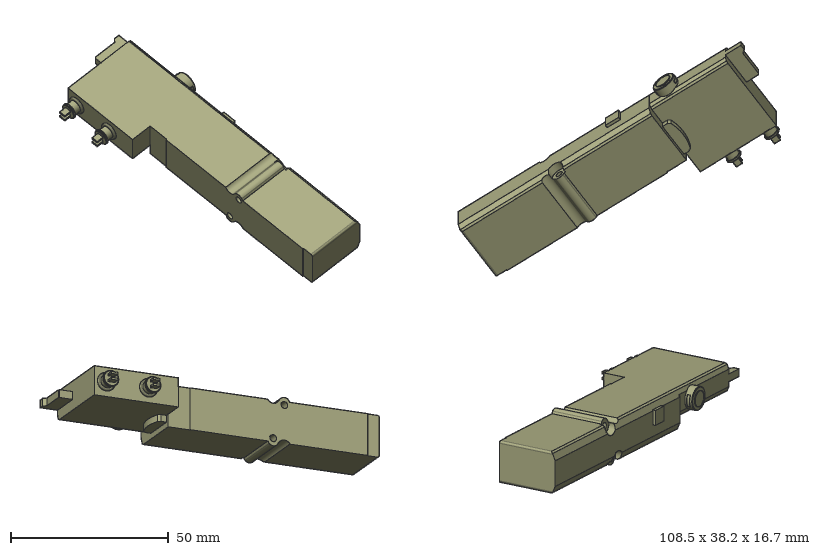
import cadquery as cq
import math

total_length = 108.5
body_start = 35.2
body_height = 14.0
overall_height = 16.7
body_back = 21.3
end_recess = 0.28
left_recess_end = 42.6
right_recess_start = 104.4
end_edge_radius = 0.7

border_start = 19.5
border_crease = 20.3
border_crease_drop = 0.4
border_run_per_rise = 0.43

head_start = 6.0
head_height = 9.8
head_front = -7.5
head_back = 20.9
head_bottom = body_height - head_height
head_mid_z = head_bottom + head_height / 2

upper_boss_x = 75.4
lower_boss_x = 71.5
boss_rise = (overall_height - body_height) / 2
boss_radius = 3.9 / 2
boss_crest_half_width = 1.4
boss_foot_half_width = 1.8
groove_radius = 4.5 / 2
groove_depth = 1.1
groove_z = body_height - groove_depth + groove_radius
flank_foot_offset = 1.5
boss_end = 18.5
screw_hole_diameter = 2.3
screw_seat_diameter = 5.3
screw_depth = 1.2

latch_root = 1.1
latch_thickness = 2.6
latch_front = 9.1
latch_chamfer = 0.3
latch_lip_start = 18.1
latch_lip_full = 19.0

catch_left = 31.4
catch_corner = 32.5
catch_front = 1.6
catch_back = 13.7
catch_height = 2.3
catch_corner_chamfer = 0.7

plug_positions = (10.1, 24.7)
plug_flange_diameter = 6.1
plug_flange_end = -8.2
plug_flange_radius = 0.3
plug_neck_diameter = 4.5
plug_collar_diameter = 5.3
plug_collar_start = -10.7
plug_collar_end = -11.5
plug_collar_chamfer = 0.2
blade_tip = -14.1
blade_width = 2.3
blade_thickness = 0.7
blade_offset = 1.0

knob_x = 28.0
knob_diameter = 7.8
knob_end = 23.8
knob_chamfer = 0.2
knob_cap_diameter = 5.3
knob_cap_end = 24.1
knob_pad_diameter = 8.1
knob_pad_height = 3.9
knob_pad_start = 21.7
knob_pad_end = 22.8
button_start = 46.1
button_end = 51.2
button_back = 22.2
button_height = 5.0


def box(x0, x1, y0, y1, z0, z1):
    return cq.Workplane("XY").box(x1 - x0, y1 - y0, z1 - z0, centered=False).translate((x0, y0, z0))


def cylinder_y(x, z, diameter, y0, y1):
    """Cylinder along Y from the lower value y0 to the higher value y1."""
    return cq.Workplane("XZ", origin=(x, y0, z)).circle(diameter / 2).extrude(y0 - y1)


def block_with_sloped_back(x0, x1, front, back, bottom, top):
    """Block whose back face leans forward towards its top and bottom edges."""
    border_height = border_crease_drop + (back - border_crease) / border_run_per_rise
    profile = [
        (front, bottom),
        (border_start, bottom),
        (border_crease, bottom + border_crease_drop),
        (back, bottom + border_height),
        (back, top - border_height),
        (border_crease, top - border_crease_drop),
        (border_start, top),
        (front, top),
    ]
    return cq.Workplane("YZ", origin=(x0, 0, 0)).polyline(profile).close().extrude(x1 - x0)


def make_body():
    body = block_with_sloped_back(body_start, total_length, 0, body_back, 0, body_height)
    body = body.cut(box(body_start, left_recess_end, 0, end_recess, 0, body_height))
    body = body.cut(box(right_recess_start, total_length, 0, end_recess, 0, body_height))
    return body.faces(">X").edges("|Y").fillet(end_edge_radius)


def make_head():
    return block_with_sloped_back(head_start, body_start, head_front, head_back, head_bottom, body_height)


def half_turn(shape):
    """Turn a feature of the upper side onto the lower side, about the body's middle axis."""
    centre_x = (upper_boss_x + lower_boss_x) / 2
    centre_z = body_height / 2
    return shape.rotate((centre_x, 0, centre_z), (centre_x, 1, centre_z), 180)


def make_groove():
    return cylinder_y(lower_boss_x, groove_z, 2 * groove_radius, 0, body_back)


def make_boss():
    """Ridge with a round crest, a long flank down into the groove and a short one on the other side."""
    crest_drop = boss_radius - math.sqrt(boss_radius**2 - boss_crest_half_width**2)
    crest_edge_z = body_height + boss_rise - crest_drop
    flank_foot_z = groove_z - math.sqrt(groove_radius**2 - flank_foot_offset**2)
    boss_foot_x = upper_boss_x + boss_foot_half_width
    return (
        cq.Workplane("XZ")
        .moveTo(lower_boss_x + flank_foot_offset, flank_foot_z)
        .lineTo(upper_boss_x - boss_crest_half_width, crest_edge_z)
        .threePointArc(
            (upper_boss_x, body_height + boss_rise),
            (upper_boss_x + boss_crest_half_width, crest_edge_z),
        )
        .lineTo(boss_foot_x, body_height)
        .lineTo(boss_foot_x, flank_foot_z)
        .close()
        .extrude(-boss_end)
    )


def make_screw_hole():
    hole_z = body_height - screw_depth
    hole = cylinder_y(upper_boss_x, hole_z, screw_hole_diameter, 0, body_back)
    seat = cylinder_y(upper_boss_x, hole_z, screw_seat_diameter, boss_end, body_back)
    return hole.union(seat)


def make_latch():
    outline = [
        (0, head_back),
        (0, latch_lip_full),
        (latch_root, latch_lip_start),
        (latch_root, latch_front + latch_chamfer),
        (latch_root + latch_chamfer, latch_front),
        (head_start, latch_front),
        (head_start, head_back),
    ]
    bottom = head_mid_z - latch_thickness / 2
    return cq.Workplane("XY", origin=(0, 0, bottom)).polyline(outline).close().extrude(latch_thickness)


def make_catch():
    bottom = head_bottom - catch_height
    middle = (catch_left, (catch_front + catch_back) / 2)
    return (
        cq.Workplane("XY", origin=(0, 0, bottom))
        .moveTo(body_start, catch_front)
        .lineTo(catch_corner, catch_front)
        .threePointArc(middle, (catch_corner, catch_back))
        .lineTo(body_start, catch_back)
        .close()
        .extrude(catch_height)
        .edges("|Z").edges("<X")
        .chamfer(catch_corner_chamfer)
    )


def make_plug(x):
    flange = cylinder_y(x, head_mid_z, plug_flange_diameter, plug_flange_end, head_front)
    plug = flange.faces("<Y").fillet(plug_flange_radius)
    plug = plug.union(cylinder_y(x, head_mid_z, plug_neck_diameter, plug_collar_end, head_front))
    collar = cylinder_y(x, head_mid_z, plug_collar_diameter, plug_collar_end, plug_collar_start)
    plug = plug.union(collar.faces("<Y").chamfer(plug_collar_chamfer))
    for side in (-1, 1):
        blade_z = head_mid_z + side * blade_offset
        blade = box(
            x - blade_width / 2, x + blade_width / 2,
            blade_tip, plug_collar_end,
            blade_z - blade_thickness / 2, blade_z + blade_thickness / 2,
        )
        plug = plug.union(blade)
    return plug


def make_knob():
    grip = cylinder_y(knob_x, head_mid_z, knob_diameter, border_start, knob_end)
    knob = grip.faces(">Y").chamfer(knob_chamfer)
    knob = knob.union(cylinder_y(knob_x, head_mid_z, knob_cap_diameter, knob_end, knob_cap_end))
    pad_ring = cylinder_y(knob_x, head_mid_z, knob_pad_diameter, knob_pad_start, knob_pad_end)
    pad_band = box(
        knob_x - knob_pad_diameter, knob_x + knob_pad_diameter,
        knob_pad_start, knob_pad_end,
        head_mid_z - knob_pad_height / 2, head_mid_z + knob_pad_height / 2,
    )
    return knob.union(pad_ring.intersect(pad_band))


def make_button():
    half_height = button_height / 2
    return box(
        button_start, button_end, border_start, button_back,
        head_mid_z - half_height, head_mid_z + half_height,
    )


result = make_body().union(make_head())

groove = make_groove()
result = result.cut(groove).cut(half_turn(groove))
boss = make_boss()
result = result.union(boss).union(half_turn(boss))
screw_hole = make_screw_hole()
result = result.cut(screw_hole).cut(half_turn(screw_hole))

result = result.union(make_latch()).union(make_catch())
result = result.union(make_knob()).union(make_button())
for plug_x in plug_positions:
    result = result.union(make_plug(plug_x))